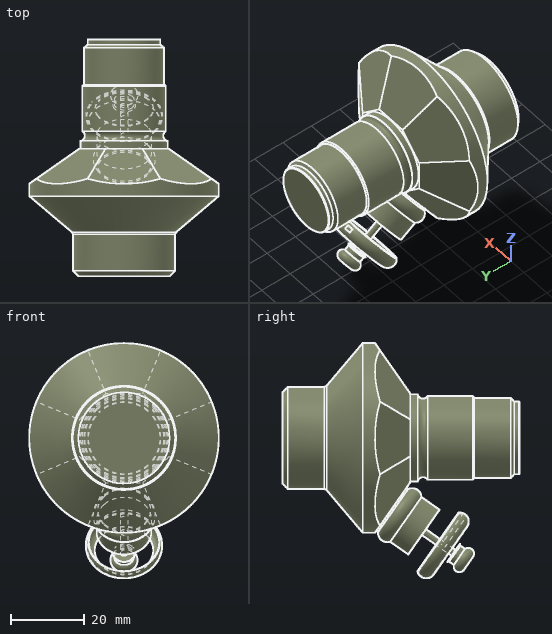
import cadquery as cq
import math

front_radius = 14.0
front_chamfer = 1.5
front_length = 11.5
front_cone_start = 12.1
front_cone_radius = 14.3
flange_radius = 26.0
flange_front = 22.0
octagon_back = 35.0
collar_radius = 12.0
collar_back = 37.1
groove_back = 39.8
groove_radius = 10.8
groove_bottom_station = 38.65
groove_front_radius = 11.85
barrel_radius = 11.5
barrel_back = 52.5
barrel_chamfer = 0.4
tail_radius = 11.0
tail_back = 62.6
tail_end_radius = 10.0
tail_end_start = 63.5
tail_end_chamfer = 0.2
total_length = 65.0

facet_count = 8
facet_slope = 55.0
octagon_apothem = 12.25

valve_foot_station = 29.88
seat_radius = 7.25
bead_radius = 8.5
bead_bottom_height = 0.55
bead_top_height = 4.83
stub_radius = 7.5
stub_height = 10.87
ring_tube_radius = 2.5
ring_centre_radius = 8.0
ring_bottom_height = 15.55
ring_top_height = 19.75
ring_wall = 0.3
knob_foot_radius = 3.1
knob_foot_height = 20.77
knob_neck_radius = 2.7
knob_neck_height = 22.73
knob_top_height = 25.8
knob_radius = 3.75
spindle_radius = 1.0
arm_width = 2.0
arm_thickness = 1.2
overlap = 1.0


def revolve_profile(profile):
    """Turn a half profile, drawn as (radius, axial distance), about its axial direction."""
    return profile.close().revolve(360, (0, 0, 0), (0, 1, 0))


def turned_body():
    """Front boss, flange, collar, groove, barrel and tail, with a plain core inside the taper."""
    profile = (
        cq.Workplane("XY")
        .moveTo(0, 0)
        .lineTo(front_radius - front_chamfer, 0)
        .lineTo(front_radius, front_chamfer)
        .lineTo(front_radius, front_length)
        .lineTo(front_cone_radius, front_cone_start)
        .lineTo(flange_radius, flange_front)
        .lineTo(collar_radius, flange_front)
        .lineTo(collar_radius, collar_back)
        .lineTo(groove_front_radius, collar_back)
        .threePointArc((groove_radius, groove_bottom_station), (barrel_radius, groove_back))
        .lineTo(barrel_radius, barrel_back - barrel_chamfer)
        .lineTo(barrel_radius - barrel_chamfer, barrel_back)
        .lineTo(tail_radius, barrel_back)
        .lineTo(tail_radius, tail_back)
        .lineTo(tail_end_radius, tail_end_start)
        .lineTo(tail_end_radius, total_length - tail_end_chamfer)
        .lineTo(tail_end_radius - tail_end_chamfer, total_length)
        .lineTo(0, total_length)
    )
    return revolve_profile(profile)


def octagon_section(station, apothem):
    """Octagon square to Y with flats facing +-X and +-Z, as a wire."""
    corner_radius = apothem / math.cos(math.pi / facet_count)
    points = []
    for corner in range(facet_count):
        angle = 2 * math.pi * (corner + 0.5) / facet_count
        points.append(cq.Vector(corner_radius * math.cos(angle), station, corner_radius * math.sin(angle)))
    return cq.Wire.makePolygon(points, close=True)


def octagonal_taper():
    """Flange rim cut back by eight sloping facets."""
    depth = octagon_back - flange_front
    large_apothem = octagon_apothem + depth * math.tan(math.radians(facet_slope))
    pyramid = cq.Solid.makeLoft(
        [octagon_section(flange_front, large_apothem), octagon_section(octagon_back, octagon_apothem)],
        True,
    )
    rim = cq.Solid.makeCylinder(flange_radius, depth, cq.Vector(0, flange_front, 0), cq.Vector(0, 1, 0))
    return cq.Workplane(rim.intersect(pyramid))


def valve_stub():
    """Seat, rounded bead and cylindrical stub."""
    bead_middle = (bead_bottom_height + bead_top_height) / 2
    profile = (
        cq.Workplane("XZ")
        .moveTo(0, -overlap)
        .lineTo(seat_radius, -overlap)
        .lineTo(seat_radius, bead_bottom_height)
        .threePointArc((bead_radius, bead_middle), (stub_radius, bead_top_height))
        .lineTo(stub_radius, stub_height)
        .lineTo(0, stub_height)
    )
    return revolve_profile(profile)


def valve_ring():
    """Open, thin-walled ring with a rounded outside; its lower rim is square to the wall."""
    centre_height = ring_top_height - ring_tube_radius
    rim_angle = math.asin((ring_bottom_height - centre_height) / ring_tube_radius)

    def wall_point(tube_radius, angle):
        return (
            ring_centre_radius + tube_radius * math.cos(angle),
            centre_height + tube_radius * math.sin(angle),
        )

    inner_tube_radius = ring_tube_radius - ring_wall
    profile = (
        cq.Workplane("XZ")
        .moveTo(*wall_point(ring_tube_radius, rim_angle))
        .threePointArc(wall_point(ring_tube_radius, 0), wall_point(ring_tube_radius, math.pi / 2))
        .lineTo(*wall_point(inner_tube_radius, math.pi / 2))
        .threePointArc(wall_point(inner_tube_radius, 0), wall_point(inner_tube_radius, rim_angle))
    )
    return revolve_profile(profile)


def valve_knob():
    """Flared neck with a rounded button on top."""
    tube_radius = (knob_top_height - knob_neck_height) / 2
    flat_radius = knob_radius - tube_radius
    profile = (
        cq.Workplane("XZ")
        .moveTo(0, knob_foot_height)
        .lineTo(knob_foot_radius, knob_foot_height)
        .lineTo(knob_neck_radius, knob_foot_height + knob_foot_radius - knob_neck_radius)
        .lineTo(knob_neck_radius, knob_neck_height)
        .threePointArc((knob_radius, knob_top_height - tube_radius), (flat_radius, knob_top_height))
        .lineTo(0, knob_top_height)
    )
    return revolve_profile(profile)


def valve_carrier():
    """Slim spindle joining stub and knob, and one arm on its upper side holding the ring."""
    spindle = cq.Workplane("XY").workplane(offset=stub_height - overlap).circle(spindle_radius)
    spindle = spindle.extrude(knob_foot_height - stub_height + 2 * overlap)
    arm_height = ring_top_height - ring_tube_radius
    arm_length = ring_centre_radius + ring_tube_radius - ring_wall / 2
    arm = cq.Workplane("XY").box(arm_width, arm_length, arm_thickness, centered=(True, False, True))
    return spindle.union(arm.translate((0, 0, arm_height)))


def side_valve():
    """Complete valve, tilted so that its axis is square to the lowest facet."""
    slope = math.radians(facet_slope)
    foot_drop = octagon_apothem + (octagon_back - valve_foot_station) * math.tan(slope)
    valve = valve_stub().union(valve_carrier()).union(valve_ring()).union(valve_knob())
    axis = cq.Vector(0, math.sin(slope), -math.cos(slope))
    seat_plane = cq.Plane(origin=(0, valve_foot_station, -foot_drop), xDir=(-1, 0, 0), normal=axis)
    return cq.Workplane(valve.val().located(cq.Location(seat_plane)))


result = turned_body().union(octagonal_taper()).union(side_valve())